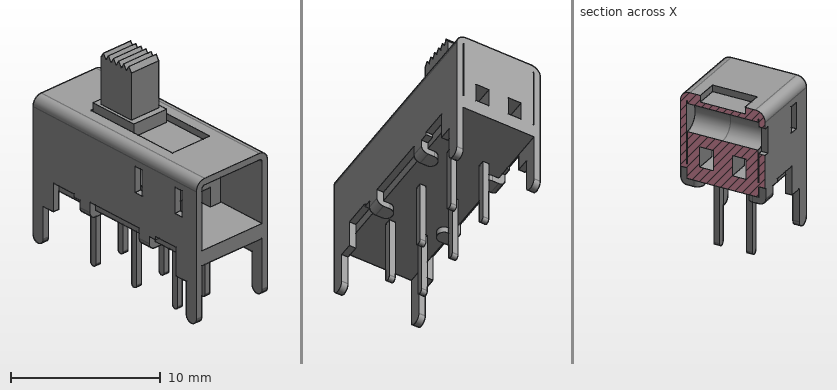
import cadquery as cq
import math


LENGTH = 16.0
WIDTH = 6.5
COVER_TOP = 6.6
SHEET = 0.5
BEND_OUTER_RADIUS = 0.75
BEND_INNER_RADIUS = BEND_OUTER_RADIUS - SHEET
CAVITY_WIDTH = WIDTH - 2 * SHEET
CAVITY_TOP = COVER_TOP - SHEET

LEG_WIDTH = 1.0
LEG_TIP = -4.4
SHOULDER_INNER_X = 6.0
SHOULDER_Z = -1.4
WALL_EDGE_Z = 0.8
STEP_OUTER_X = 4.0
STEP_Z = 0.55

TAB_CENTER_X = 2.9
TAB_WIDTH = 1.0
TAB_REACH = 1.5

SLOT_LENGTH = 8.0
SLOT_WIDTH = 3.4
WINDOW_CENTERS_X = (2.35, 6.25)
WINDOW_WIDTH = 0.7
WINDOW_HEIGHT = 2.0
WINDOW_CENTER_Z = 4.35

BASE_HEIGHT = 1.15
PIN_PITCH = 4.0
PIN_ROW_Y = 1.25
PIN_WIDTH = 0.5
PIN_THICKNESS = 0.45
PIN_TIP = -5.4

CARRIAGE_LENGTH = 12.0
CARRIAGE_WIDTH = 5.4
CARRIAGE_CENTER_X = (CARRIAGE_LENGTH - LENGTH) / 2
CHANNEL_WIDTH = 1.0
CHANNEL_HEIGHT = 1.5
DETENT_DIAMETER = 2.1
DETENT_CENTER_Z = 4.65

COLLAR_LENGTH = 4.0
COLLAR_WIDTH = 3.0
COLLAR_RISE = 0.5
STEM_WIDTH = 2.5
TOOTH_COUNT = 6
TOOTH_PITCH = 0.5
TOOTH_HEIGHT = 0.4
STEM_TOP = 11.1


def box(length, width, bottom, top, x=0.0, y=0.0):
    """Upright block centred on (x, y), from height bottom to height top."""
    block = cq.Workplane("XY").box(length, width, top - bottom, centered=(True, True, False))
    return block.translate((x, y, bottom))


def extrude_across(outline, width):
    """Extrude an XZ outline symmetrically about the Y = 0 plane."""
    return outline.extrude(width / 2, both=True)


def cover_channel():
    """Inverted U of bent sheet, still with straight side walls."""
    outer = box(LENGTH, WIDTH, LEG_TIP, COVER_TOP)
    outer = outer.edges("|X and >Z").fillet(BEND_OUTER_RADIUS)
    inner = box(LENGTH, CAVITY_WIDTH, LEG_TIP, CAVITY_TOP)
    inner = inner.edges("|X and >Z").fillet(BEND_INNER_RADIUS)
    return outer.cut(inner)


def cover_profile():
    """Side outline of the cover: round-ended legs, shoulders and the stepped edge."""
    half = LENGTH / 2
    leg_inner_x = half - LEG_WIDTH
    leg_round_z = LEG_TIP + LEG_WIDTH / 2
    leg_center_x = half - LEG_WIDTH / 2
    tab_outer_x = TAB_CENTER_X + TAB_WIDTH / 2
    tab_inner_x = TAB_CENTER_X - TAB_WIDTH / 2
    half_outline = (
        cq.Workplane("XZ")
        .moveTo(0, COVER_TOP)
        .lineTo(half, COVER_TOP)
        .lineTo(half, leg_round_z)
        .threePointArc((leg_center_x, LEG_TIP), (leg_inner_x, leg_round_z))
        .lineTo(leg_inner_x, SHOULDER_Z)
        .lineTo(SHOULDER_INNER_X, SHOULDER_Z)
        .lineTo(SHOULDER_INNER_X, WALL_EDGE_Z)
        .lineTo(STEP_OUTER_X, WALL_EDGE_Z)
        .lineTo(STEP_OUTER_X, STEP_Z)
        .lineTo(tab_outer_x, STEP_Z)
        .lineTo(tab_outer_x, 0)
        .lineTo(tab_inner_x, 0)
        .lineTo(tab_inner_x, WALL_EDGE_Z)
        .lineTo(0, WALL_EDGE_Z)
        .close()
    )
    half_profile = extrude_across(half_outline, WIDTH)
    return half_profile.union(half_profile.mirror("YZ"))


def folded_tab(x_side, y_side):
    """Round-ended tab folded inward under the base, with a rounded outer bend."""
    outer_y = WIDTH / 2
    bend_start_y = outer_y - SHEET
    inner_y = outer_y - TAB_REACH
    bend_middle = SHEET * math.sqrt(0.5)
    section = (
        cq.Workplane("YZ")
        .moveTo(outer_y, 0)
        .threePointArc((bend_start_y + bend_middle, -bend_middle), (bend_start_y, -SHEET))
        .lineTo(inner_y, -SHEET)
        .lineTo(inner_y, 0)
        .close()
        .extrude(TAB_WIDTH / 2, both=True)
    )
    end_radius = TAB_WIDTH / 2
    end_center_y = inner_y + end_radius
    plan = (
        cq.Workplane("XY", origin=(0, 0, -SHEET))
        .moveTo(end_radius, outer_y)
        .lineTo(end_radius, end_center_y)
        .threePointArc((0, inner_y), (-end_radius, end_center_y))
        .lineTo(-end_radius, outer_y)
        .close()
        .extrude(SHEET)
    )
    tab = section.intersect(plan)
    if y_side < 0:
        tab = tab.mirror("XZ")
    return tab.translate((x_side * TAB_CENTER_X, 0, 0))


def cover():
    """Bent sheet cover with its slot, detent windows and folded tabs."""
    body = cover_channel().intersect(cover_profile())
    body = body.cut(box(SLOT_LENGTH, SLOT_WIDTH, CAVITY_TOP, COVER_TOP))
    window_bottom = WINDOW_CENTER_Z - WINDOW_HEIGHT / 2
    window_top = WINDOW_CENTER_Z + WINDOW_HEIGHT / 2
    front_wall_y = (SHEET - WIDTH) / 2
    for x in WINDOW_CENTERS_X:
        body = body.cut(box(WINDOW_WIDTH, SHEET, window_bottom, window_top, x, front_wall_y))
    for x_side in (-1, 1):
        for y_side in (-1, 1):
            body = body.union(folded_tab(x_side, y_side))
    return body


def pin(x, y):
    """Flat terminal with a half-round tip, hanging from the base."""
    radius = PIN_WIDTH / 2
    round_z = PIN_TIP + radius
    outline = (
        cq.Workplane("XZ")
        .moveTo(-radius, 0)
        .lineTo(-radius, round_z)
        .threePointArc((0, PIN_TIP), (radius, round_z))
        .lineTo(radius, 0)
        .close()
    )
    return extrude_across(outline, PIN_THICKNESS).translate((x, y, 0))


def terminal_base():
    """Base plate filling the cover width, with two rows of three pins."""
    body = box(LENGTH, CAVITY_WIDTH, 0, BASE_HEIGHT)
    for column in (-1, 0, 1):
        for row in (-1, 1):
            body = body.union(pin(column * PIN_PITCH, row * PIN_ROW_Y))
    return body


def carriage():
    """Sliding block between base and cover, with contact channels and a detent bore."""
    body = box(CARRIAGE_LENGTH, CARRIAGE_WIDTH, BASE_HEIGHT, CAVITY_TOP, CARRIAGE_CENTER_X)
    channel_top = BASE_HEIGHT + CHANNEL_HEIGHT
    for row in (-1, 1):
        channel = box(CARRIAGE_LENGTH, CHANNEL_WIDTH, BASE_HEIGHT, channel_top,
                      CARRIAGE_CENTER_X, row * PIN_ROW_Y)
        body = body.cut(channel)
    bore = cq.Workplane("XZ").center(WINDOW_CENTERS_X[0], DETENT_CENTER_Z).circle(DETENT_DIAMETER / 2)
    return body.cut(extrude_across(bore, CARRIAGE_WIDTH))


def actuator():
    """Collar in the cover slot carrying a stem with a serrated top."""
    collar_top = COVER_TOP + COLLAR_RISE
    collar = box(COLLAR_LENGTH, COLLAR_WIDTH, CAVITY_TOP, collar_top, CARRIAGE_CENTER_X)
    valley_z = STEM_TOP - TOOTH_HEIGHT
    stem_length = TOOTH_COUNT * TOOTH_PITCH
    left_x = CARRIAGE_CENTER_X - stem_length / 2
    outline = cq.Workplane("XZ").moveTo(left_x, collar_top).lineTo(left_x, valley_z)
    for tooth in range(TOOTH_COUNT):
        tooth_x = left_x + tooth * TOOTH_PITCH
        outline = outline.lineTo(tooth_x + TOOTH_PITCH / 2, STEM_TOP)
        outline = outline.lineTo(tooth_x + TOOTH_PITCH, valley_z)
    outline = outline.lineTo(left_x + stem_length, collar_top).close()
    return collar.union(extrude_across(outline, STEM_WIDTH))


result = cover().union(terminal_base()).union(carriage()).union(actuator())